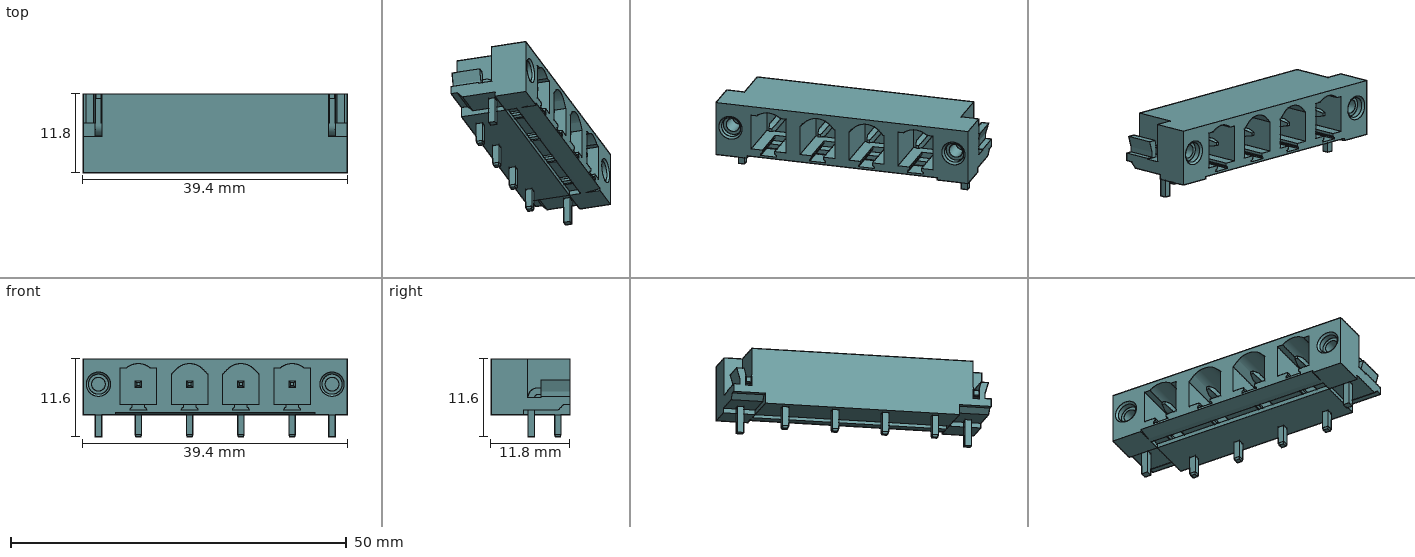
import cadquery as cq

LENGTH = 39.35
DEPTH = 11.75
BODY_HEIGHT = 8.35
LEG_LENGTH = 3.25
CENTRE_X = LENGTH / 2

CONTACT_COUNT = 4
PITCH = 7.65
CONTACT_XS = [CENTRE_X + (i - (CONTACT_COUNT - 1) / 2) * PITCH for i in range(CONTACT_COUNT)]
POCKET_HALF_WIDTH = 2.7
POCKET_DEPTH = 7.85
POCKET_FLOOR_Z = 1.57
POCKET_CROWN_Z = 7.65
CROWN_HALF_WIDTH = 1.8
SHOULDER_Z = 6.95
CHAMFER_START_Z = SHOULDER_Z - (POCKET_HALF_WIDTH - CROWN_HALF_WIDTH)

GROOVE_LENGTH = 6.3
GROOVE_HALF_THROAT = 0.95
GROOVE_HALF_BASE = 1.2
GROOVE_BASE_Z = 0.7
GROOVE_THROAT_Z = 1.18
GROOVE_FLARE_Z = GROOVE_THROAT_Z - (GROOVE_HALF_BASE - GROOVE_HALF_THROAT)

FOOT_WIDTH = 4.85
FOOT_DEPTH = 4.85
LIP_Z = 0.35
LIP_RAMP_DEPTH = 2.25
CROSS_SLOT_Y = 3.05
END_RELIEF_Z = 0.7
END_RELIEF_REAR_Z = 1.55
END_RELIEF_SLOPE_Y = 9.95
END_RELIEF_REAR_Y = END_RELIEF_SLOPE_Y + END_RELIEF_REAR_Z - END_RELIEF_Z

NOTCH_Y = 5.4
NOTCH_FLOOR_Z = 2.6
CLIP_Y = 7.4
CLIP_LEDGE_Z = 2.7
CLIP_NECK_X = 0.95
CLIP_NECK_Z = 3.45
CLIP_TOP_Z = 5.2
CLIP_TOP_OUTER_X = 0.45
CLIP_TOP_INNER_X = 1.57
RETAINER_OVERLAP = 0.08
RETAINER_TOP_Z = 4.35

SCREW_X = 2.3
SCREW_Z = 4.55
COUNTERSINK_RADIUS = 1.8
INSERT_RADIUS = 1.5
THREAD_RADIUS = 1.02
COUNTERSINK_DEPTH = 0.3
INSERT_FRONT_Y = 1.18
INSERT_REAR_Y = 4.33

PIN_SIZE = 1.0
PIN_FRONT_Y = 0.9
PIN_LEG_Y = 9.9
PIN_TIP_SIZE = 0.45
PIN_TIP_LENGTH = 1.25
LEG_TIP_SIZE = 0.75
LEG_TIP_LENGTH = 0.35

POST_SIZE = 1.0
POST_INNER_X = SCREW_X + POST_SIZE / 2
POST_OUTER_X = SCREW_X - POST_SIZE / 2
NOTCH_WIDTH = POST_INNER_X
POST_Y = 5.45
POST_TOP_Z = 4.0
POST_BEND_RADIUS = 0.47
POST_TIP_INSET = 0.1
POST_TIP_LENGTH = 0.7


def block(x0, x1, y0, y1, z0, z1):
    """Axis-aligned box between two opposite corners."""
    return cq.Workplane("XY").box(x1 - x0, y1 - y0, z1 - z0, centered=False).translate((x0, y0, z0))


def end_pair(shape):
    """A left-end shape and its mirror image at the right end."""
    return [shape, shape.mirror("YZ", (CENTRE_X, 0, 0))]


def extrude_along_y(outline, y0, y1):
    """Extrude an XZ outline from y0 back to y1."""
    return outline.extrude(-(y1 - y0)).translate((0, y0, 0))


def extrude_along_x(points, x0, x1):
    """Extrude a YZ polygon from x0 to x1."""
    return cq.Workplane("YZ").polyline(points).close().extrude(x1 - x0).translate((x0, 0, 0))


def cylinder(radius, y0, y1):
    """Cylinder on the left screw axis."""
    return extrude_along_y(cq.Workplane("XZ").center(SCREW_X, SCREW_Z).circle(radius), y0, y1)


def pocket(x, chamfered):
    """Arched contact pocket with either chamfered or square shoulders."""
    side_z = CHAMFER_START_Z if chamfered else SHOULDER_Z
    outline = (
        cq.Workplane("XZ")
        .moveTo(x - POCKET_HALF_WIDTH, POCKET_FLOOR_Z)
        .lineTo(x - POCKET_HALF_WIDTH, side_z)
        .lineTo(x - CROWN_HALF_WIDTH, SHOULDER_Z)
        .threePointArc((x, POCKET_CROWN_Z), (x + CROWN_HALF_WIDTH, SHOULDER_Z))
        .lineTo(x + POCKET_HALF_WIDTH, side_z)
        .lineTo(x + POCKET_HALF_WIDTH, POCKET_FLOOR_Z)
        .close()
    )
    return extrude_along_y(outline, 0, POCKET_DEPTH)


def keying_groove(x):
    """Undercut groove in a pocket floor, open at the front face."""
    right_side = [
        (GROOVE_HALF_THROAT, POCKET_FLOOR_Z),
        (GROOVE_HALF_THROAT, GROOVE_THROAT_Z),
        (GROOVE_HALF_BASE, GROOVE_FLARE_Z),
        (GROOVE_HALF_BASE, GROOVE_BASE_Z),
    ]
    left_side = [(-half, z) for half, z in reversed(right_side)]
    points = [(x + half, z) for half, z in right_side + left_side]
    return extrude_along_y(cq.Workplane("XZ").polyline(points).close(), 0, GROOVE_LENGTH)


def underside_ramp():
    """Shallow ramp under the front edge between the end feet."""
    points = [(0, 0), (0, LIP_Z), (LIP_RAMP_DEPTH, 0)]
    return extrude_along_x(points, FOOT_WIDTH, LENGTH - FOOT_WIDTH)


def cross_slot():
    """Slot across the underside, as deep as the groove bases so that the grooves break into it."""
    return block(FOOT_WIDTH, LENGTH - FOOT_WIDTH, CROSS_SLOT_Y, FOOT_DEPTH, 0, GROOVE_BASE_Z)


def end_relief():
    """Clearance under the left end, behind the foot."""
    points = [
        (FOOT_DEPTH, 0),
        (FOOT_DEPTH, END_RELIEF_Z),
        (END_RELIEF_SLOPE_Y, END_RELIEF_Z),
        (END_RELIEF_REAR_Y, END_RELIEF_REAR_Z),
        (DEPTH, END_RELIEF_REAR_Z),
        (DEPTH, 0),
    ]
    return extrude_along_x(points, 0, FOOT_WIDTH)


def clip():
    """Hooked upright on a low ledge, with a sloped inner face that overhangs the post."""
    points = [
        (0, NOTCH_FLOOR_Z),
        (0, CLIP_LEDGE_Z),
        (CLIP_NECK_X, CLIP_LEDGE_Z),
        (CLIP_NECK_X, CLIP_NECK_Z),
        (CLIP_TOP_OUTER_X, CLIP_TOP_Z),
        (CLIP_TOP_INNER_X, CLIP_TOP_Z),
        (POST_OUTER_X + RETAINER_OVERLAP, POST_TOP_Z),
        (POST_OUTER_X, POST_TOP_Z),
        (POST_OUTER_X, NOTCH_FLOOR_Z),
    ]
    return extrude_along_y(cq.Workplane("XZ").polyline(points).close(), CLIP_Y, DEPTH)


def retaining_rib():
    """Thin wedge on the notch wall that overhangs the post opposite the clip."""
    points = [
        (NOTCH_WIDTH, RETAINER_TOP_Z),
        (NOTCH_WIDTH, POST_TOP_Z),
        (NOTCH_WIDTH - RETAINER_OVERLAP, POST_TOP_Z),
    ]
    return extrude_along_y(cq.Workplane("XZ").polyline(points).close(), CLIP_Y, DEPTH)


def screw_hole():
    """Blind, countersunk hole that holds the left insert."""
    countersink = (
        cq.Workplane("XZ").center(SCREW_X, SCREW_Z).circle(COUNTERSINK_RADIUS)
        .workplane(offset=-COUNTERSINK_DEPTH).circle(INSERT_RADIUS).loft()
    )
    return cylinder(INSERT_RADIUS, 0, INSERT_REAR_Y).union(countersink)


def insert():
    """Threaded insert of the left flange, seated at the bottom of its hole."""
    return cylinder(INSERT_RADIUS, INSERT_FRONT_Y, INSERT_REAR_Y).cut(
        cylinder(THREAD_RADIUS, INSERT_FRONT_Y, INSERT_REAR_Y))


def contact(x):
    """L-shaped contact with a long tapered mating tip and a short tapered board tip."""
    half = PIN_SIZE / 2
    taper_end_y = PIN_FRONT_Y + PIN_TIP_LENGTH
    taper_end_z = LEG_TIP_LENGTH - LEG_LENGTH
    arm = block(x - half, x + half, taper_end_y, PIN_LEG_Y + half, SCREW_Z - half, SCREW_Z + half)
    leg = block(x - half, x + half, PIN_LEG_Y - half, PIN_LEG_Y + half, taper_end_z, SCREW_Z + half)
    mating_tip = (
        cq.Workplane("XZ", origin=(x, taper_end_y, SCREW_Z)).rect(PIN_SIZE, PIN_SIZE)
        .workplane(offset=PIN_TIP_LENGTH).rect(PIN_TIP_SIZE, PIN_TIP_SIZE).loft()
    )
    board_tip = (
        cq.Workplane("XY", origin=(x, PIN_LEG_Y, taper_end_z)).rect(PIN_SIZE, PIN_SIZE)
        .workplane(offset=-LEG_TIP_LENGTH).rect(LEG_TIP_SIZE, LEG_TIP_SIZE).loft()
    )
    return arm.union(leg).union(mating_tip).union(board_tip)


def post():
    """Left board post: vertical leg, rounded bend and rearward arm with a reduced end."""
    arm_end_y = DEPTH - POST_TIP_LENGTH
    arm_bottom_z = POST_TOP_Z - POST_SIZE
    leg_top_z = arm_bottom_z - POST_BEND_RADIUS
    bend_y = POST_Y + POST_SIZE + POST_BEND_RADIUS
    bar = (
        cq.Workplane("YZ")
        .moveTo(POST_Y, -LEG_LENGTH)
        .lineTo(POST_Y, leg_top_z)
        .radiusArc((bend_y, POST_TOP_Z), POST_SIZE + POST_BEND_RADIUS)
        .lineTo(arm_end_y, POST_TOP_Z)
        .lineTo(arm_end_y, arm_bottom_z)
        .lineTo(bend_y, arm_bottom_z)
        .radiusArc((POST_Y + POST_SIZE, leg_top_z), -POST_BEND_RADIUS)
        .lineTo(POST_Y + POST_SIZE, -LEG_LENGTH)
        .close()
        .extrude(POST_SIZE)
        .translate((POST_OUTER_X, 0, 0))
    )
    tip = block(
        POST_OUTER_X + POST_TIP_INSET, POST_INNER_X - POST_TIP_INSET, arm_end_y, DEPTH,
        arm_bottom_z + POST_TIP_INSET, POST_TOP_Z - POST_TIP_INSET)
    return bar.union(tip)


def make_housing(fitted_parts):
    """Housing with all its recesses and with exact seats for the embedded parts."""
    body = block(0, LENGTH, 0, DEPTH, 0, BODY_HEIGHT)
    notch = block(0, NOTCH_WIDTH, NOTCH_Y, DEPTH, NOTCH_FLOOR_Z, BODY_HEIGHT)
    for cutter in end_pair(notch) + end_pair(end_relief()) + end_pair(screw_hole()):
        body = body.cut(cutter)
    for detail in end_pair(clip()) + end_pair(retaining_rib()):
        body = body.union(detail)
    for index, x in enumerate(CONTACT_XS):
        is_inner = 0 < index < CONTACT_COUNT - 1
        body = body.cut(pocket(x, is_inner)).cut(keying_groove(x))
    body = body.cut(underside_ramp()).cut(cross_slot())
    for part in fitted_parts:
        body = body.cut(part)
    return body


contacts = [contact(x) for x in CONTACT_XS]
posts = end_pair(post())
inserts = end_pair(insert())
housing = make_housing(contacts + posts)

result = cq.Compound.makeCompound(
    [housing.val()] + [part.val() for part in contacts + posts + inserts]
)